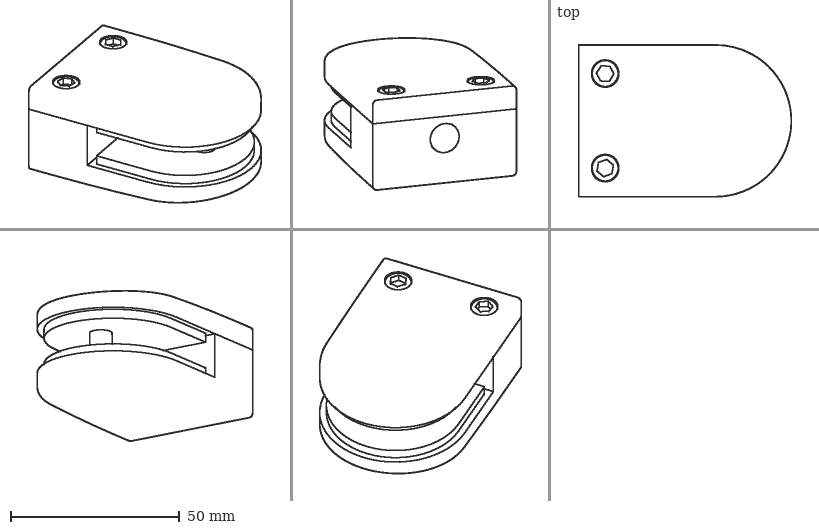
import cadquery as cq
import math

LENGTH = 63.0
WIDTH = 45.0
HEIGHT = 28.0
NOSE_RADIUS = WIDTH / 2
NOSE_CENTRE_X = LENGTH - NOSE_RADIUS
HALF_HEIGHT = HEIGHT / 2

FLAT_LENGTH = 7.9
NOSE_DROP = 2.2
EDGE_FILLET = 1.4

SLOT_HEIGHT = 13.5
SLOT_START_X = 20.0
SPLIT_Z = SLOT_HEIGHT / 2
MOUNT_HOLE_DIAMETER = 9.0

PAD_INSET = 2.0
PAD_THICKNESS = 2.8
PAD_START_X = 22.0
PIN_X = 47.0
PIN_DIAMETER = 6.7

SCREW_X = FLAT_LENGTH
SCREW_Y = 14.0
HEAD_DIAMETER = 7.7
HEAD_HEIGHT = 3.8
HEAD_FILLET = 0.55
HEAD_CLEARANCE = 0.2
SHANK_DIAMETER = 5.05
SOCKET_FLATS = 4.5
SOCKET_DEPTH = 2.0
SOCKET_TURNS = {SCREW_Y: 28.0, -SCREW_Y: 50.0}


def d_plate(start_x, inset, bottom, top):
    """D-shaped plate whose straight sides run into a half-round nose."""
    radius = NOSE_RADIUS - inset
    return (
        cq.Workplane("XY", origin=(0, 0, bottom))
        .moveTo(start_x, -radius)
        .lineTo(NOSE_CENTRE_X, -radius)
        .threePointArc((NOSE_CENTRE_X + radius, 0), (NOSE_CENTRE_X, radius))
        .lineTo(start_x, radius)
        .close()
        .extrude(top - bottom)
    )


def cylinder(x, y, diameter, bottom, top):
    """Upright cylinder between two heights."""
    return cq.Workplane("XY", origin=(x, y, bottom)).circle(diameter / 2).extrude(top - bottom)


def jaw():
    """Upper jaw: a D plate with a falling outer face and a rounded outer edge."""
    run = LENGTH - FLAT_LENGTH
    arc_radius = (run**2 + NOSE_DROP**2) / (2 * NOSE_DROP)
    half_run = run / 2
    half_drop = arc_radius - math.sqrt(arc_radius**2 - half_run**2)
    side_profile = (
        cq.Workplane("XZ")
        .moveTo(0, SPLIT_Z)
        .lineTo(LENGTH, SPLIT_Z)
        .lineTo(LENGTH, HALF_HEIGHT - NOSE_DROP)
        .threePointArc(
            (FLAT_LENGTH + half_run, HALF_HEIGHT - half_drop),
            (FLAT_LENGTH, HALF_HEIGHT),
        )
        .lineTo(0, HALF_HEIGHT)
        .close()
        .extrude(NOSE_RADIUS, both=True)
    )
    plate = d_plate(0, 0, SPLIT_Z, HALF_HEIGHT).intersect(side_profile)
    rim = [
        edge
        for edge in plate.edges().vals()
        if edge.Center().z > SPLIT_Z + NOSE_DROP
        and edge.BoundingBox().xlen > EDGE_FILLET
    ]
    return plate.newObject(rim).fillet(EDGE_FILLET)


def screw(y, socket_turn):
    """Socket screw standing on the base, with its head flush with the flat."""
    head_bottom = HALF_HEIGHT - HEAD_HEIGHT
    head = cylinder(SCREW_X, y, HEAD_DIAMETER, head_bottom, HALF_HEIGHT)
    head = head.faces(">Z").edges().fillet(HEAD_FILLET)
    socket = (
        cq.Workplane("XY", origin=(SCREW_X, y, HALF_HEIGHT - SOCKET_DEPTH))
        .transformed(rotate=(0, 0, socket_turn))
        .polygon(6, SOCKET_FLATS, circumscribed=True)
        .extrude(SOCKET_DEPTH)
    )
    shank = cylinder(SCREW_X, y, SHANK_DIAMETER, SPLIT_Z, head_bottom)
    return head.cut(socket).union(shank)


def make_base():
    """Lower jaw and back block, with the mounting hole and the fixed screws."""
    lower_jaw = jaw().mirror("XY")
    block = cq.Workplane("XY").box(
        SLOT_START_X, WIDTH, SLOT_HEIGHT, centered=(False, True, True)
    )
    mount_hole = cq.Workplane("YZ").circle(MOUNT_HOLE_DIAMETER / 2).extrude(SLOT_START_X)
    base = lower_jaw.union(block).cut(mount_hole)
    for y, socket_turn in SOCKET_TURNS.items():
        base = base.union(screw(y, socket_turn))
    return base


def make_cover():
    """Upper jaw with a counterbored hole for each screw."""
    cover = jaw()
    recess_diameter = HEAD_DIAMETER + 2 * HEAD_CLEARANCE
    for y in SOCKET_TURNS:
        cover = cover.cut(cylinder(SCREW_X, y, SHANK_DIAMETER, SPLIT_Z, HALF_HEIGHT))
        cover = cover.cut(cylinder(SCREW_X, y, recess_diameter, HALF_HEIGHT - HEAD_HEIGHT, HALF_HEIGHT))
    return cover


def make_insert():
    """Two pads that line the slot, joined by the pin that crosses it."""
    pad_face_z = SPLIT_Z - PAD_THICKNESS
    upper_pad = d_plate(PAD_START_X, PAD_INSET, pad_face_z, SPLIT_Z)
    lower_pad = upper_pad.mirror("XY")
    pin = cylinder(PIN_X, 0, PIN_DIAMETER, -pad_face_z, pad_face_z)
    return upper_pad.union(pin).union(lower_pad)


base = make_base()
cover = make_cover()
insert = make_insert()

result = cq.Compound.makeCompound([body.solids().val() for body in (base, cover, insert)])